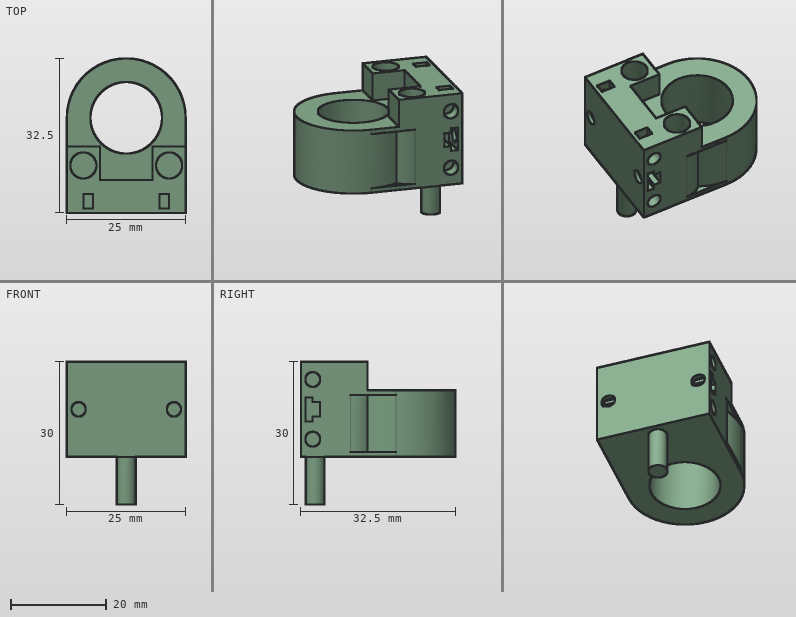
import cadquery as cq
import math

total_length = 32.5
width = 25.0
half_width = width / 2
block_length = 14.0
block_height = 20.0
ring_height = 14.0
ring_radius = half_width
ring_y = total_length - ring_radius
bore_diameter = 14.98

saddle_width = 11.0
saddle_front_y = 7.0

web_thickness = 1.0
recess_front_y = 10.45

mount_diameter = 5.5
mount_x = 9.0
mount_y = 10.0
mount_depth = 10.0
pocket_width = 2.0
pocket_x = 8.0
pocket_depth = 3.0
screw_diameter = 3.0
screw_x = 10.0
screw_z = block_height / 2
side_hole_diameter = 3.12
side_hole_y = 2.5
side_hole_spacing = 12.5
side_hole_z = screw_z
side_hole_depth = 3.25

slot_front_y = 1.0
slot_step_y = 2.5
slot_rear_y = 4.0
slot_wide = 5.0
slot_narrow = 3.0
slot_z = screw_z
slot_depth = 6.0

cable_diameter = 4.0
cable_length = 10.0
cable_y = 3.0


def box(x_min, x_max, y_min, y_max, z_min, z_max):
    return cq.Workplane("XY").box(
        x_max - x_min, y_max - y_min, z_max - z_min, centered=False
    ).translate((x_min, y_min, z_min))


def make_body():
    block = box(-half_width, half_width, 0, block_length, 0, block_height)
    neck = box(-half_width, half_width, 0, ring_y, 0, ring_height)
    ring = cq.Workplane("XY").center(0, ring_y).circle(ring_radius).extrude(ring_height)
    saddle = box(
        -saddle_width / 2, saddle_width / 2,
        saddle_front_y, block_length, ring_height, block_height,
    )
    bore = cq.Workplane("XY").center(0, ring_y).circle(bore_diameter / 2).extrude(block_height)
    return block.union(neck).union(ring).cut(saddle).cut(bore)


def make_left_recess():
    """Space between the ring wall and a shoulder arc tangent to the side face."""
    meet_x = -math.sqrt(ring_radius**2 - (ring_y - block_length) ** 2)
    inset = half_width + meet_x
    rise = block_length - recess_front_y
    shoulder_radius = (inset**2 + rise**2) / (2 * inset)
    shoulder = (
        cq.Workplane("XY", origin=(0, 0, web_thickness))
        .center(shoulder_radius - half_width, recess_front_y)
        .circle(shoulder_radius)
        .extrude(ring_height)
    )
    ring_core = cq.Workplane("XY").center(0, ring_y).circle(ring_radius).extrude(ring_height)
    space = box(
        -half_width, meet_x, recess_front_y, ring_y,
        web_thickness, ring_height - web_thickness,
    )
    return space.cut(shoulder).cut(ring_core)


def make_left_slot():
    def step(y_min, y_max, height):
        return box(
            -half_width, slot_depth - half_width, y_min, y_max,
            slot_z - height / 2, slot_z + height / 2,
        )

    wide_step = step(slot_front_y, slot_step_y, slot_wide)
    narrow_step = step(slot_step_y, slot_rear_y, slot_narrow)
    return wide_step.union(narrow_step)


def make_left_holes():
    mount_hole = (
        cq.Workplane("XY", origin=(-mount_x, mount_y, block_height))
        .circle(mount_diameter / 2)
        .extrude(-mount_depth)
    )
    top_pocket = box(
        -pocket_x - pocket_width / 2, -pocket_x + pocket_width / 2,
        slot_front_y, slot_rear_y, block_height - pocket_depth, block_height,
    )
    screw_hole = (
        cq.Workplane("XZ", origin=(-screw_x, 0, screw_z))
        .circle(screw_diameter / 2)
        .extrude(-slot_rear_y)
    )
    side_holes = (
        cq.Workplane("YZ", origin=(-half_width, side_hole_y, side_hole_z))
        .rarray(0.32, side_hole_spacing, 1, 2)
        .circle(side_hole_diameter / 2)
        .extrude(side_hole_depth)
    )
    return mount_hole.union(top_pocket).union(screw_hole).union(side_holes)


def make_cable():
    return (
        cq.Workplane("XY")
        .center(0, cable_y)
        .circle(cable_diameter / 2)
        .extrude(-cable_length)
    )


result = make_body().union(make_cable())
for cutter in (make_left_recess(), make_left_slot(), make_left_holes()):
    result = result.cut(cutter).cut(cutter.mirror("YZ"))